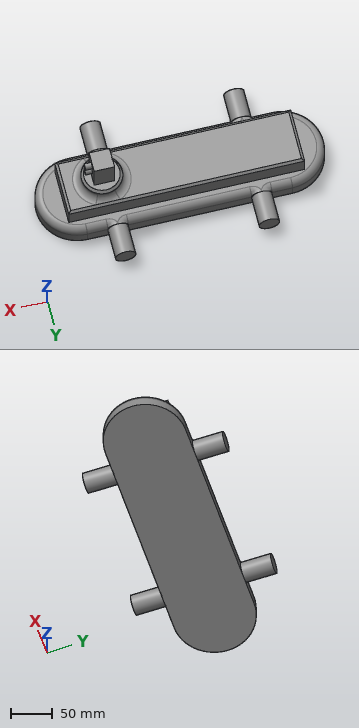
import cadquery as cq

base_length = 355.5
base_width = 101.7
base_height = 25.2
base_fillet = 9.5

peg_diameter = base_height
peg_span = 177.8
peg_offset = 89.0

block_length = 292.0
block_width = 69.7
block_top = 51.2
chamfer_height = 3.2
chamfer_width = 2.5

edge_margin = 0.5

tower_x = 96.5
collar_radius = 25.2
collar_top = 66.0
collar_chamfer = 3.2
flare_radius = 10.0

post_width = 25.2
post_top = 105.5
knob_diameter = 8.2
knob_length = 8.5
knob_heights = (82.5, 96.0)


def make_base():
    """Obround slab with a rounded upper edge."""
    slab = cq.Workplane("XY").slot2D(base_length, base_width).extrude(base_height)
    return slab.faces(">Z").edges().fillet(base_fillet)


def make_peg(x, side):
    """Horizontal round peg standing out from one long side of the base."""
    peg_length = (peg_span - base_width) / 2
    return (
        cq.Workplane("XZ", origin=(x, side * base_width / 2, peg_diameter / 2))
        .circle(peg_diameter / 2)
        .extrude(-side * peg_length)
    )


def make_half_root():
    """
    Filling of the base rounding behind one half of a peg, with its outer corner at the origin.
    The base rounding turns around that corner, and is stretched along X to half the peg diameter.
    """
    start_height = base_height - base_fillet
    cutter_top = base_height + base_fillet
    middle = base_fillet * 0.5 ** 0.5
    hollow = (
        cq.Workplane("XZ")
        .moveTo(0, start_height)
        .threePointArc((base_fillet - middle, start_height + middle), (base_fillet, base_height))
        .lineTo(base_fillet, cutter_top)
        .lineTo(0, cutter_top)
        .close()
        .revolve(360, (0, 0, 0), (0, 1, 0))
    )
    block = cq.Workplane("XY").box(base_fillet, base_fillet, base_height, centered=False)
    stretch = cq.Matrix([
        [peg_diameter / 2 / base_fillet, 0, 0, 0],
        [0, 1, 0, 0],
        [0, 0, 1, 0],
    ])
    return cq.Workplane(block.cut(hollow).val().transformGeometry(stretch))


def make_peg_root(x, side):
    """Filled base edge behind a whole peg, mirrored to the chosen side of the base."""
    half = make_half_root().translate((-peg_diameter / 2, -base_width / 2, 0))
    root = half.union(half.mirror("YZ"))
    if side > 0:
        root = root.mirror("XZ")
    return root.translate((x, 0, 0))


def make_block():
    """Rectangular block chamfered around its top face."""
    block = (
        cq.Workplane("XY", origin=(0, 0, base_height))
        .rect(block_length, block_width)
        .extrude(block_top - base_height)
    )
    return block.faces(">Z").edges().chamfer(chamfer_width, chamfer_height)


def add_collar(block):
    """Add the round collar and blend its foot into the block top."""
    collar = (
        cq.Workplane("XY", origin=(tower_x, 0, block_top))
        .circle(collar_radius)
        .extrude(collar_top - block_top)
        .faces(">Z")
        .chamfer(collar_chamfer)
    )
    reach = collar_radius + edge_margin
    foot = cq.selectors.BoxSelector(
        (tower_x - reach, -reach, block_top - edge_margin),
        (tower_x + reach, reach, block_top + edge_margin),
        boundingbox=True,
    )
    return block.union(collar).edges(foot).fillet(flare_radius)


def make_post():
    """Square post standing on the collar."""
    return (
        cq.Workplane("XY", origin=(tower_x, 0, collar_top))
        .rect(post_width, post_width)
        .extrude(post_top - collar_top)
    )


def make_knob(z):
    """Small round knob on the +X face of the post."""
    return (
        cq.Workplane("YZ", origin=(tower_x + post_width / 2, 0, z))
        .circle(knob_diameter / 2)
        .extrude(knob_length)
    )


result = make_base()
for peg_x in (-peg_offset, peg_offset):
    for side in (-1, 1):
        result = result.union(make_peg_root(peg_x, side))
        result = result.union(make_peg(peg_x, side))
result = result.union(add_collar(make_block()))
result = result.union(make_post())
for height in knob_heights:
    result = result.union(make_knob(height))